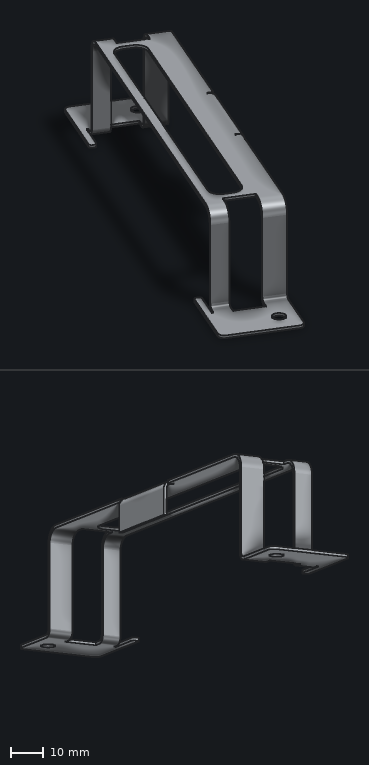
import cadquery as cq


length = 168.0
height = 35.0
sheet = 1.0

foot_bend = 1.5
top_bend = 4.0
tab_bend = 1.5

foot_size = 28.0
foot_corner = 2.0
hole_dia = 4.5
hole_from_end = 8.0
hole_from_back = 6.2
tongue_width = 2.5
tongue_corner = 1.0
slit_width = 0.5
slit_past_bend = 1.7

leg_outside = 64.2
window_outer_x = 68.0
window_inner_x = 57.0
window_width = 10.8
window_from_back = 8.0
slot_length = 108.2
slot_width = 11.1
slot_corner = 4.0
slot_from_back = 10.6

tab_width = 29.7
tab_drop = 11.1
tab_overhang = 1.2
relief_width = 0.5
relief_depth = 2.0

half_length = length / 2
back = foot_size
bridge_front = tongue_width + slit_width
bridge_width = back - bridge_front
leg_inside = leg_outside - sheet
foot_bend_start = leg_outside + foot_bend
top_bend_start = leg_inside - top_bend
slit_end = foot_bend_start + slit_past_bend


def box(x_min, x_max, y_min, y_max, z_min, z_max):
    size = (x_max - x_min, y_max - y_min, z_max - z_min)
    return cq.Workplane("XY").box(*size, centered=False).translate((x_min, y_min, z_min))


def make_ribbon_half():
    """Right half of the bridge strip: foot bend, leg, top bend and half of the top."""
    foot_outer = foot_bend + sheet
    top_outer = top_bend + sheet
    return (
        cq.Workplane("XZ", origin=(0, back, 0))
        .moveTo(0, height)
        .lineTo(top_bend_start, height)
        .radiusArc((leg_outside, height - top_outer), top_outer)
        .lineTo(leg_outside, foot_outer)
        .radiusArc((foot_bend_start, sheet), -foot_bend)
        .lineTo(foot_bend_start, 0)
        .radiusArc((leg_inside, foot_outer), foot_outer)
        .lineTo(leg_inside, height - top_outer)
        .radiusArc((top_bend_start, height - sheet), -top_bend)
        .lineTo(0, height - sheet)
        .close()
        .extrude(bridge_width)
    )


def make_foot():
    """Right foot plate with its front tongue reaching under the bridge."""
    inner_end = half_length - foot_size
    plate = box(foot_bend_start, half_length, 0, back, 0, sheet)
    plate = plate.edges("|Z and >X").fillet(foot_corner)
    tongue = box(inner_end, slit_end, 0, tongue_width, 0, sheet)
    tongue = tongue.edges("|Z and <X").fillet(tongue_corner)
    slit = box(foot_bend_start, slit_end, tongue_width, bridge_front, 0, sheet)
    hole = (
        cq.Workplane("XY")
        .center(half_length - hole_from_end, back - hole_from_back)
        .circle(hole_dia / 2)
        .extrude(sheet)
    )
    return plate.union(tongue).cut(slit).cut(hole)


def make_window():
    """Opening that splits the leg in two, running from the foot into the top."""
    window_back = back - window_from_back
    return box(window_inner_x, window_outer_x, window_back - window_width, window_back, 0, height)


def make_slot():
    """Long rounded opening in the top."""
    slot_back = back - slot_from_back
    half_slot = slot_length / 2
    blank = box(-half_slot, half_slot, slot_back - slot_width, slot_back, height - sheet, height)
    return blank.edges("|Z").fillet(slot_corner)


def make_tab_notch():
    """Notch in the back edge that frees the tab bend and its side reliefs."""
    half_notch = tab_width / 2 + relief_width
    return box(-half_notch, half_notch, back - relief_depth, back, height - sheet, height)


def make_tab():
    """Tab bent down from the back edge of the top."""
    outer = tab_bend + sheet
    tab_back = back + tab_overhang
    root = back - relief_depth
    return (
        cq.Workplane("YZ", origin=(-tab_width / 2, 0, 0))
        .moveTo(root, height)
        .lineTo(tab_back - outer, height)
        .radiusArc((tab_back, height - outer), outer)
        .lineTo(tab_back, height - tab_drop)
        .lineTo(tab_back - sheet, height - tab_drop)
        .lineTo(tab_back - sheet, height - outer)
        .radiusArc((tab_back - outer, height - sheet), -tab_bend)
        .lineTo(root, height - sheet)
        .close()
        .extrude(tab_width)
    )


right_half = make_ribbon_half().union(make_foot()).cut(make_window())
bridge = right_half.union(right_half.mirror("YZ"))
result = bridge.cut(make_slot()).cut(make_tab_notch()).union(make_tab())